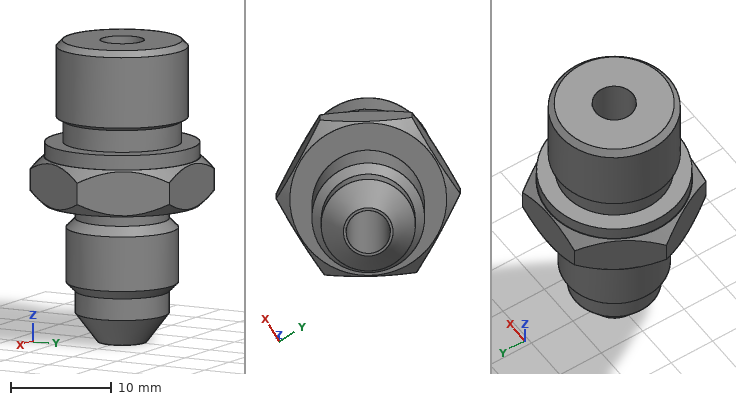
import cadquery as cq
import math

length = 30.48
bore_radius = 2.2

nose_tip_radius = 2.47
nose_height = 2.93
pilot_radius = 4.7
pilot_top = 5.12
lower_thread_radius = 5.6
lower_thread_chamfer = lower_thread_radius - pilot_radius
lower_thread_top = 12.47

hex_across_flats = 15.88
hex_bottom = 14.0
hex_top = 18.7
hex_chamfer_radius = 7.8
hex_corner_drop = 1.28
collar_radius = 7.75
collar_top = 20.18

relief_radius = 5.9
relief_top = 22.37
upper_thread_radius = 6.58
upper_runout_height = 0.37
upper_chamfer = 0.6


def turned_body():
    """Revolve the round steps about the Z axis."""
    profile = [
        (0, 0),
        (nose_tip_radius, 0),
        (pilot_radius, nose_height),
        (pilot_radius, pilot_top),
        (lower_thread_radius, pilot_top + lower_thread_chamfer),
        (lower_thread_radius, lower_thread_top - lower_thread_chamfer),
        (pilot_radius, lower_thread_top),
        (pilot_radius, hex_bottom),
        (collar_radius, hex_bottom),
        (collar_radius, collar_top),
        (relief_radius, collar_top),
        (relief_radius, relief_top),
        (upper_thread_radius, relief_top + upper_runout_height),
        (upper_thread_radius, length - upper_chamfer),
        (upper_thread_radius - upper_chamfer, length),
        (0, length),
    ]
    return cq.Workplane("XZ").polyline(profile).close().revolve(360, (0, 0), (0, 1))


def chamfered_hexagon():
    """Hexagon with corners on the X axis, its corners turned off conically at both ends."""
    corner_radius = hex_across_flats / math.sqrt(3)
    hexagon = (
        cq.Workplane("XY")
        .workplane(offset=hex_bottom)
        .polygon(6, 2 * corner_radius)
        .extrude(hex_top - hex_bottom)
    )
    envelope_profile = [
        (0, hex_bottom),
        (hex_chamfer_radius, hex_bottom),
        (corner_radius, hex_bottom + hex_corner_drop),
        (corner_radius, hex_top - hex_corner_drop),
        (hex_chamfer_radius, hex_top),
        (0, hex_top),
    ]
    envelope = cq.Workplane("XZ").polyline(envelope_profile).close().revolve(360, (0, 0), (0, 1))
    return hexagon.intersect(envelope)


bore = cq.Workplane("XY").circle(bore_radius).extrude(length)

result = turned_body().union(chamfered_hexagon()).cut(bore)